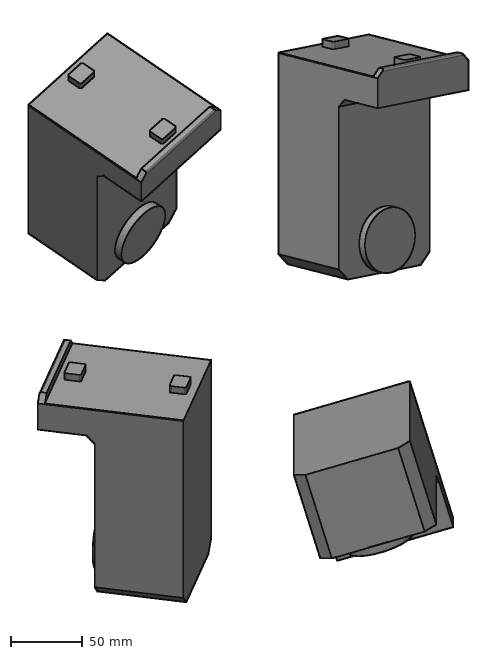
import cadquery as cq

length = 105.0
width = 85.0
height = 159.0

deck_height = 153.6
block_length = 63.9
arm_thickness = 22.0
gusset = 6.0
bottom_chamfer = 8.6
top_chamfer = 5.9

lip_thickness = 5.1
lip_edge_radius = 1.3
lip_height = height - deck_height

pad_length = 12.1
pad_width = 15.3
pad_corner_radius = 1.3
pad_centers_x = (12.4, 88.1)

boss_diameter = 46.9
boss_depth = 6.0
boss_center_height = 24.2


def make_body():
    """L-shaped body with chamfered long edges and a deck sunk behind the end lip."""
    arm_underside = deck_height - arm_thickness
    body = (
        cq.Workplane("XZ")
        .polyline([
            (0, 0),
            (block_length, 0),
            (block_length, arm_underside - gusset),
            (block_length + gusset, arm_underside),
            (length, arm_underside),
            (length, height),
            (0, height),
        ])
        .close()
        .extrude(width / 2, both=True)
    )
    body = body.faces("<Z").edges("|X").chamfer(bottom_chamfer)
    body = body.faces(">Z").edges("|X").chamfer(top_chamfer)
    body = body.faces(">Z").edges(">X").fillet(lip_edge_radius)
    above_deck = cq.Workplane("XY", origin=(0, 0, deck_height)).box(
        length - lip_thickness, width, lip_height, centered=(False, True, False)
    )
    return body.cut(above_deck)


def make_pad(center_x):
    """Rectangular pad with rounded vertical corners, level with the lip."""
    return (
        cq.Workplane("XY", origin=(center_x, 0, deck_height))
        .rect(pad_length, pad_width)
        .extrude(lip_height)
        .edges("|Z")
        .fillet(pad_corner_radius)
    )


def make_boss():
    """Round boss pointing along +X."""
    return (
        cq.Workplane("YZ", origin=(block_length, 0, boss_center_height))
        .circle(boss_diameter / 2)
        .extrude(boss_depth)
    )


result = make_body().union(make_boss())
for pad_center_x in pad_centers_x:
    result = result.union(make_pad(pad_center_x))